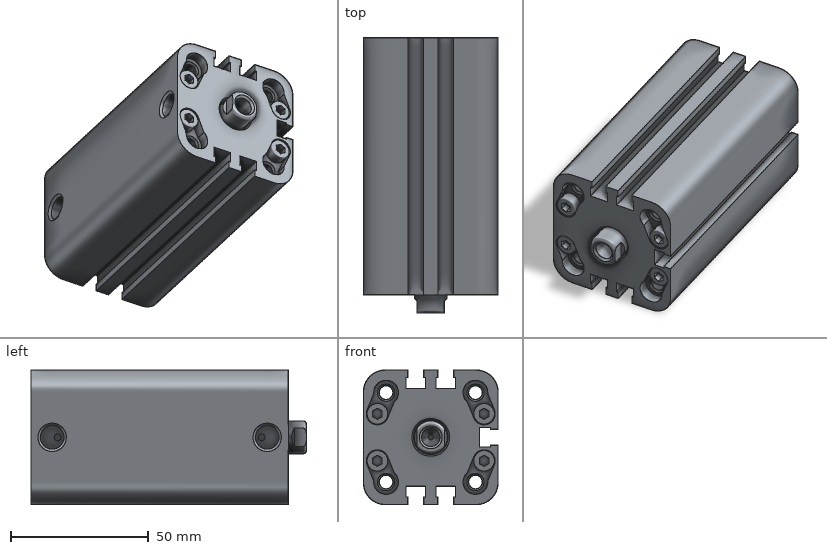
import cadquery as cq
import math


body_width = 49.0
total_length = 100.2
rod_protrusion = 6.6
body_length = total_length - rod_protrusion
corner_radius = 8.0
half_width = body_width / 2

slot_neck_width = 5.7
slot_neck_depth = 2.8
slot_width = 7.0
slot_depth = 6.7
slot_offset = 5.45

hole_offset = 16.25
mount_hole_diameter = 4.92
mount_chamfer_diameter = 6.32
hole_relief_diameter = 9.0
pocket_width = 8.0
pocket_depth = 4.2
screw_x = 19.4
screw_z = 8.55
screw_head_diameter = 7.5
screw_head_height = 4.0
screw_edge_radius = 0.25
hex_across_flats = 3.5
hex_depth = 3.0

port_face_distance = 7.7
port_diameter = 8.57
port_mouth_diameter = 10.3
port_depth = 9.0
passage_diameter = 2.5
passage_offset = 2.0
passage_depth = 3.0

rod_diameter = 12.0
rod_edge_radius = 1.25
rod_flat_width = 10.0
rod_flat_start = 2.2
thread_diameter = 6.65
thread_mouth_diameter = 8.3
thread_depth = 12.0
drill_tip_diameter = 1.8
drill_point_angle = 118.0
gland_diameter = 12.5
gland_mouth_diameter = 13.7
gland_depth = 3.0


into_front = cq.Vector(0, 1, 0)
into_side = cq.Vector(1, 0, 0)


def drilled_hole(mouth, direction, diameter, depth, mouth_diameter):
    """Cutting tool for a round hole with a 45 degree chamfer at its mouth."""
    chamfer_depth = (mouth_diameter - diameter) / 2
    bore = cq.Solid.makeCylinder(diameter / 2, depth, mouth, direction)
    chamfer = cq.Solid.makeCone(mouth_diameter / 2, diameter / 2, chamfer_depth, mouth, direction)
    return bore.fuse(chamfer)


def front_plane(y=0.0):
    """Sketch plane facing -Y, with local x along X and local y along Z.

    Positive extrusions run to -Y, negative ones into the body.
    """
    return cq.Workplane("XZ", origin=(0, y, 0))


def make_body():
    block = front_plane().rect(body_width, body_width).extrude(-body_length)
    return block.edges("|Y").fillet(corner_radius)


def make_slot(center, angle):
    """T-slot tool opening at +Z, shifted along X by center, then turned about the Y axis."""
    neck = front_plane().center(center, half_width - slot_neck_depth / 2)
    neck = neck.rect(slot_neck_width, slot_neck_depth).extrude(-body_length)
    groove_height = slot_depth - slot_neck_depth
    groove = front_plane().center(center, half_width - slot_depth + groove_height / 2)
    groove = groove.rect(slot_width, groove_height).extrude(-body_length)
    return neck.union(groove).rotate((0, 0, 0), (0, 1, 0), angle)


def cut_slots(body):
    for center in (-slot_offset, slot_offset):
        for angle in (0, 180):
            body = body.cut(make_slot(center, angle))
    return body.cut(make_slot(0, 90))


def make_pocket(side_x, side_z):
    """Pocket joining a mounting hole to its screw, with the through hole in its floor."""
    hole_x = side_x * hole_offset
    hole_z = side_z * hole_offset
    run_x = side_x * screw_x - hole_x
    run_z = side_z * screw_z - hole_z
    pocket_length = math.hypot(run_x, run_z) + pocket_width
    pocket_angle = math.degrees(math.atan2(run_z, run_x))
    pocket = front_plane().center(hole_x + run_x / 2, hole_z + run_z / 2)
    pocket = pocket.slot2D(pocket_length, pocket_width, pocket_angle).extrude(-pocket_depth)
    relief = front_plane().center(hole_x, hole_z).circle(hole_relief_diameter / 2).extrude(-pocket_depth)
    hole = drilled_hole(
        cq.Vector(hole_x, pocket_depth, hole_z),
        into_front,
        mount_hole_diameter,
        body_length - pocket_depth,
        mount_chamfer_diameter,
    )
    return pocket.union(relief).union(cq.Workplane(hole))


def make_screw(side_x, side_z):
    """Socket head standing on the pocket floor, its hexagon with corners at top and bottom."""
    head = front_plane(pocket_depth).center(side_x * screw_x, side_z * screw_z)
    head = head.circle(screw_head_diameter / 2).extrude(screw_head_height)
    head = head.faces("<Y").edges().fillet(screw_edge_radius)
    hex_diameter = hex_across_flats / math.cos(math.pi / 6)
    socket = front_plane(pocket_depth - screw_head_height)
    socket = socket.center(side_x * screw_x, side_z * screw_z)
    socket = socket.transformed(rotate=(0, 0, 90)).polygon(6, hex_diameter).extrude(-hex_depth)
    return head.cut(socket)


def add_corner_fastenings(body):
    for side_x in (-1, 1):
        for side_z in (-1, 1):
            body = body.cut(make_pocket(side_x, side_z))
            body = body.union(make_screw(side_x, side_z))
    return body


def cut_port(body, port_y, toward_middle):
    """Air port in the -X side, with a small air passage in its floor."""
    port = drilled_hole(
        cq.Vector(-half_width, port_y, 0), into_side, port_diameter, port_depth, port_mouth_diameter
    )
    passage_y = port_y + toward_middle * passage_offset
    passage_start = cq.Vector(port_depth - half_width, passage_y, 0)
    passage = cq.Solid.makeCylinder(passage_diameter / 2, passage_depth, passage_start, into_side)
    return body.cut(cq.Workplane(port)).cut(cq.Workplane(passage))


def cut_gland(body):
    gland = drilled_hole(cq.Vector(0, 0, 0), into_front, gland_diameter, gland_depth, gland_mouth_diameter)
    return body.cut(cq.Workplane(gland))


def make_rod():
    """Rod end with two wrench flats, whose inner ends run out at 45 degrees."""
    rod = front_plane(gland_depth).circle(rod_diameter / 2).extrude(gland_depth + rod_protrusion)
    rod = rod.faces("<Y").edges().fillet(rod_edge_radius)
    flat_x = rod_flat_width / 2
    outer_x = rod_diameter / 2
    runout = outer_x - flat_x
    for side in (-1, 1):
        flat = (
            cq.Workplane("XY", origin=(0, 0, -outer_x))
            .moveTo(side * flat_x, -rod_protrusion)
            .lineTo(side * flat_x, -rod_flat_start)
            .lineTo(side * outer_x, runout - rod_flat_start)
            .lineTo(side * outer_x, -rod_protrusion)
            .close()
            .extrude(rod_diameter)
        )
        rod = rod.cut(flat)
    return rod


def cut_rod_thread(body):
    mouth = cq.Vector(0, -rod_protrusion, 0)
    bore = drilled_hole(mouth, into_front, thread_diameter, thread_depth, thread_mouth_diameter)
    tip_length = (thread_diameter - drill_tip_diameter) / 2 / math.tan(math.radians(drill_point_angle / 2))
    tip = cq.Solid.makeCone(
        thread_diameter / 2,
        drill_tip_diameter / 2,
        tip_length,
        cq.Vector(0, thread_depth - rod_protrusion, 0),
        into_front,
    )
    return body.cut(cq.Workplane(bore)).cut(cq.Workplane(tip))


cylinder = cut_slots(make_body())
cylinder = add_corner_fastenings(cylinder)
cylinder = cut_port(cylinder, port_face_distance, 1)
cylinder = cut_port(cylinder, body_length - port_face_distance, -1)
cylinder = cut_gland(cylinder).union(make_rod())
result = cut_rod_thread(cylinder)